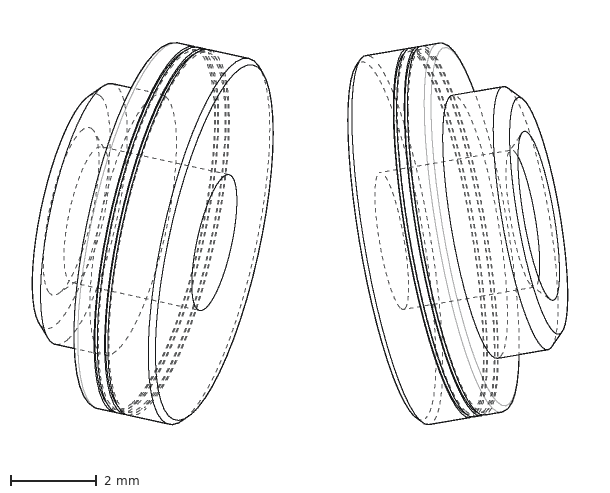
import cadquery as cq

flange_diameter = 8.74
total_length = 3.53
flange_length = 2.0
hub_diameter = 6.23
bore_diameter = 3.24

hub_chamfer = 0.315
flange_chamfer = 0.13
flange_fillet = 0.13
countersink_diameter = 4.0

groove_width = 0.08
groove_depth = 0.07
first_groove_offset = 0.53
groove_spacing = 0.26
groove_count = 2

hub_length = total_length - flange_length


def cylinder(start, length, diameter):
    """Solid cylinder along X, beginning at x = start."""
    return cq.Workplane("YZ", origin=(start, 0, 0)).circle(diameter / 2).extrude(length)


def rim_groove(start):
    """Ring that cuts a groove into the flange rim."""
    floor_diameter = flange_diameter - 2 * groove_depth
    outer = cylinder(start, groove_width, flange_diameter + 2 * groove_depth)
    return outer.cut(cylinder(start, groove_width, floor_diameter))


hub = cylinder(0, hub_length, hub_diameter).faces("<X").chamfer(hub_chamfer)

flange = cylinder(hub_length, flange_length, flange_diameter)
flange = flange.faces("<X").edges().fillet(flange_fillet)
flange = flange.faces(">X").edges().chamfer(flange_chamfer)

body = hub.union(flange)

countersink_depth = (countersink_diameter - bore_diameter) / 2
body = body.cut(cylinder(0, total_length, bore_diameter))
bore_edge = body.faces("<X").edges(cq.selectors.RadiusNthSelector(0))
body = bore_edge.chamfer(countersink_depth)

for index in range(groove_count):
    body = body.cut(rim_groove(hub_length + first_groove_offset + index * groove_spacing))

result = body